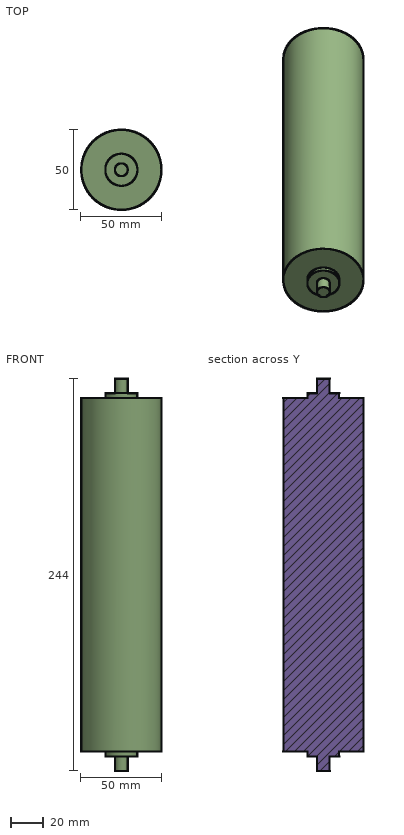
import cadquery as cq

body_diameter = 50.0
body_length = 220.0
collar_diameter = 20.0
collar_length = 3.0
pin_diameter = 8.0
pin_length = 9.0


def cylinder(diameter, length):
    """Cylinder on the Z axis, centred on the origin."""
    return cq.Workplane("XY").cylinder(length, diameter / 2)


length_over_collars = body_length + 2 * collar_length
overall_length = length_over_collars + 2 * pin_length

body = cylinder(body_diameter, body_length)
collars = cylinder(collar_diameter, length_over_collars)
pins = cylinder(pin_diameter, overall_length)

result = body.union(collars).union(pins)